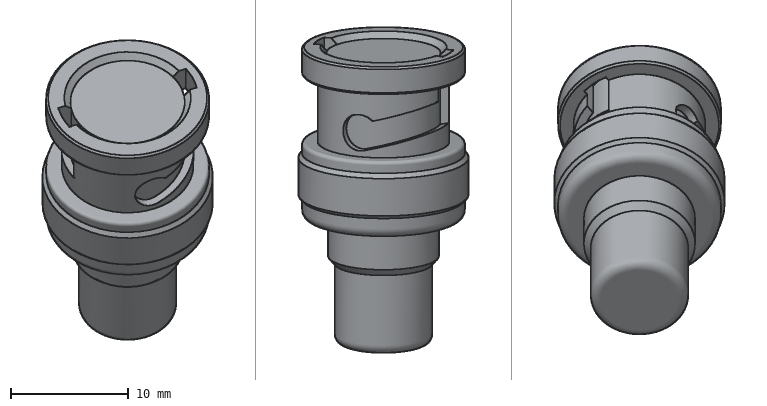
import cadquery as cq
import math

TOTAL_HEIGHT = 26.0
FLANGE_RADIUS = 6.95
FLANGE_BOTTOM = 23.58
FLANGE_CHAMFER = 0.18
NECK_RADIUS = 5.62

COLLAR_RADIUS = 7.25
COLLAR_END_RADIUS = FLANGE_RADIUS
COLLAR_TOP = 17.7
COLLAR_TOP_FILLET = 0.3
UPPER_CONE_TOP = 16.7
UPPER_CONE_BOTTOM = 16.3
LOWER_CONE_TOP = 13.03
LOWER_CONE_BOTTOM = 12.71
COLLAR_BOTTOM = 10.97
COLLAR_BOTTOM_FILLET = 0.8

STEM_RADIUS = 4.73
STEM_CONE_TOP = 7.65
STEM_CONE_BOTTOM = 7.0
TIP_RADIUS = 4.15
TIP_FILLET = 0.8

CORE_RADIUS = 4.85
RECESS_RADIUS = 5.38
RECESS_DEPTH = 0.52
ENTRY_WIDTH = 2.4
ENTRY_RADIUS = 6.0
LOCK_RADIUS = 1.59
LOCK_HEIGHT = 19.8
RAMP_WIDTH = 2.37
RAMP_ANGLE = math.radians(14.1)


def round_bottom_edge(profile, corner_radius, end_z, fillet):
    """Run along the flat bottom at end_z and round its corner up into a cylinder."""
    centre_r = corner_radius - fillet
    centre_z = end_z + fillet
    diagonal = fillet * math.sqrt(0.5)
    middle = (centre_r + diagonal, centre_z - diagonal)
    flat_point = (centre_r, end_z)
    side_point = (corner_radius, centre_z)
    return profile.lineTo(*flat_point).threePointArc(middle, side_point)


def turned_body():
    """Revolve the stepped outline, with all its rounded and conical ends."""
    top_fillet_r = COLLAR_END_RADIUS - COLLAR_TOP_FILLET
    top_fillet_z = COLLAR_TOP - COLLAR_TOP_FILLET
    top_diagonal = COLLAR_TOP_FILLET * math.sqrt(0.5)

    profile = cq.Workplane("XZ").moveTo(0, 0)
    profile = round_bottom_edge(profile, TIP_RADIUS, 0, TIP_FILLET)
    profile = (
        profile.lineTo(TIP_RADIUS, STEM_CONE_BOTTOM)
        .lineTo(STEM_RADIUS, STEM_CONE_TOP)
        .lineTo(STEM_RADIUS, COLLAR_BOTTOM)
    )
    profile = round_bottom_edge(profile, COLLAR_END_RADIUS, COLLAR_BOTTOM, COLLAR_BOTTOM_FILLET)
    profile = (
        profile.lineTo(COLLAR_END_RADIUS, LOWER_CONE_BOTTOM)
        .lineTo(COLLAR_RADIUS, LOWER_CONE_TOP)
        .lineTo(COLLAR_RADIUS, UPPER_CONE_BOTTOM)
        .lineTo(COLLAR_END_RADIUS, UPPER_CONE_TOP)
        .lineTo(COLLAR_END_RADIUS, top_fillet_z)
        .threePointArc(
            (top_fillet_r + top_diagonal, top_fillet_z + top_diagonal),
            (top_fillet_r, COLLAR_TOP),
        )
        .lineTo(NECK_RADIUS, COLLAR_TOP)
        .lineTo(NECK_RADIUS, FLANGE_BOTTOM)
        .lineTo(FLANGE_RADIUS - FLANGE_CHAMFER, FLANGE_BOTTOM)
        .lineTo(FLANGE_RADIUS, FLANGE_BOTTOM + FLANGE_CHAMFER)
        .lineTo(FLANGE_RADIUS, TOTAL_HEIGHT - FLANGE_CHAMFER)
        .lineTo(FLANGE_RADIUS - FLANGE_CHAMFER, TOTAL_HEIGHT)
        .lineTo(RECESS_RADIUS, TOTAL_HEIGHT)
        .lineTo(CORE_RADIUS, TOTAL_HEIGHT - RECESS_DEPTH)
        .lineTo(0, TOTAL_HEIGHT - RECESS_DEPTH)
        .close()
    )
    return profile.revolve(360, (0, 0, 0), (0, 1, 0))


def bayonet_slot():
    """Entry slot at -Y, sloping ramp and round lock hole at -X, down to the core."""
    entry = (
        cq.Workplane("XY", origin=(0, 0, LOCK_HEIGHT))
        .center(0, -ENTRY_RADIUS / 2)
        .rect(ENTRY_WIDTH, ENTRY_RADIUS)
        .extrude(TOTAL_HEIGHT - LOCK_HEIGHT)
    )

    lower_start = LOCK_HEIGHT - LOCK_RADIUS / math.cos(RAMP_ANGLE)
    upper_start = lower_start + RAMP_WIDTH / math.cos(RAMP_ANGLE)
    tangent_y = -LOCK_RADIUS * math.sin(RAMP_ANGLE)
    rise = math.tan(RAMP_ANGLE)
    ramp = (
        cq.Workplane("YZ", origin=(-ENTRY_RADIUS, 0, 0))
        .moveTo(tangent_y, lower_start - tangent_y * rise)
        .lineTo(-ENTRY_RADIUS, lower_start + ENTRY_RADIUS * rise)
        .lineTo(-ENTRY_RADIUS, upper_start + ENTRY_RADIUS * rise)
        .lineTo(tangent_y, upper_start - tangent_y * rise)
        .close()
        .extrude(ENTRY_RADIUS + ENTRY_WIDTH / 2)
    )
    lock = (
        cq.Workplane("YZ", origin=(-ENTRY_RADIUS, 0, 0))
        .center(0, LOCK_HEIGHT)
        .circle(LOCK_RADIUS)
        .extrude(ENTRY_RADIUS)
    )
    slot_depth = (
        cq.Workplane("XY", origin=(0, 0, COLLAR_TOP))
        .circle(ENTRY_RADIUS)
        .circle(CORE_RADIUS)
        .extrude(TOTAL_HEIGHT - COLLAR_TOP)
    )
    return entry.union(ramp).union(lock).intersect(slot_depth)


result = turned_body()
slot = bayonet_slot()
for turn in (0, 180):
    result = result.cut(slot.rotate((0, 0, 0), (0, 0, 1), turn))